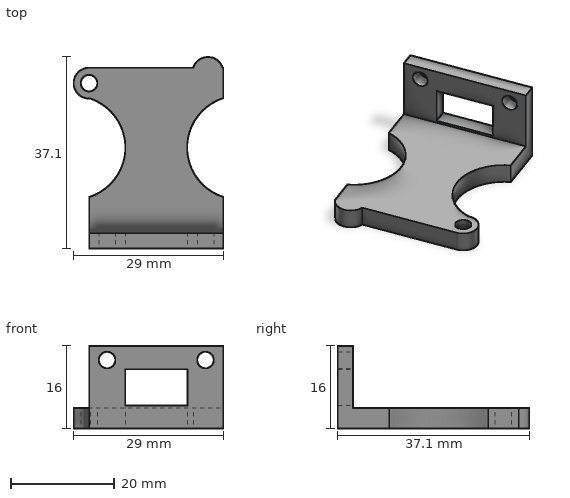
import cadquery as cq

width = 26.0
plate_length = 35.0
plate_thickness = 4.0
wall_thickness = 3.0
height = 16.0

lug_radius = 3.0
total_length = 37.07
ear_y = plate_length - lug_radius
bump_x = width - lug_radius
bump_y = total_length - lug_radius
hole_diameter = 3.15

cutout_radius = 10.0
cutout_offset = 3.0
cutout_y = 19.55

wall_hole_spacing = 19.0
wall_hole_left = 3.5
wall_hole_z = 13.27
window_left = 7.05
window_width = 11.97
window_bottom = 4.5
window_height = 7.0


def upright_cylinder(x, y, radius):
    """Cylinder through the full plate thickness."""
    return cq.Workplane("XY").center(x, y).circle(radius).extrude(plate_thickness)


def make_plate():
    plate = cq.Workplane("XY").box(width, plate_length, plate_thickness, centered=False)
    plate = plate.union(upright_cylinder(bump_x, bump_y, lug_radius))
    for x in (-cutout_offset, width + cutout_offset):
        plate = plate.cut(upright_cylinder(x, cutout_y, cutout_radius))
    plate = plate.union(upright_cylinder(0, ear_y, lug_radius))
    return plate.cut(upright_cylinder(0, ear_y, hole_diameter / 2))


def make_wall():
    wall = cq.Workplane("XY").box(width, wall_thickness, height, centered=False)
    window = cq.Workplane("XY").box(window_width, wall_thickness, window_height, centered=False)
    wall = wall.cut(window.translate((window_left, 0, window_bottom)))
    hole_centers = [(wall_hole_left + i * wall_hole_spacing, wall_hole_z) for i in range(2)]
    holes = (
        cq.Workplane("XZ")
        .pushPoints(hole_centers)
        .circle(hole_diameter / 2)
        .extrude(-wall_thickness)
    )
    return wall.cut(holes)


result = make_plate().union(make_wall())